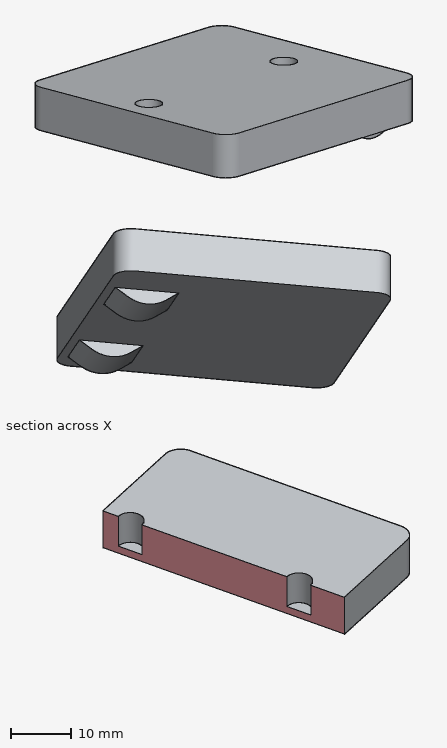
import cadquery as cq
import math

width = 45.0
length = 47.3
total_height = 10.0
tab_height = 2.45
plate_thickness = total_height - tab_height
corner_radius = 3.05

hole_diameter = 4.6
hole_depth = 6.0
hole_spacing = 33.0
front_hole_y = -18.3

tab_width = 8.0
tab_center_y = 16.65
tab_center_x_positions = (-10.4, 14.45)
tab_half_length = 5.45
tab_flank_angle = math.radians(34)


def make_plate():
    """Rounded plate with its underside at Z = 0."""
    plate = cq.Workplane("XY").box(width, length, plate_thickness, centered=(True, True, False))
    return plate.edges("|Z").fillet(corner_radius)


def make_holes():
    """Two blind holes on the centre line, opening at the top face."""
    hole_centers = [(0, front_hole_y), (0, front_hole_y + hole_spacing)]
    return (
        cq.Workplane("XY", origin=(0, 0, plate_thickness - hole_depth))
        .pushPoints(hole_centers)
        .circle(hole_diameter / 2)
        .extrude(hole_depth)
    )


def make_tab(center_x):
    """Ridge with straight flanks running tangentially into a rounded tip."""
    flank_apex_depth = tab_half_length * math.tan(tab_flank_angle)
    tip_radius = (flank_apex_depth - tab_height) / (1 / math.cos(tab_flank_angle) - 1)
    tangent_y = tip_radius * math.sin(tab_flank_angle)
    tangent_z = -(tab_half_length - tangent_y) * math.tan(tab_flank_angle)
    return (
        cq.Workplane("YZ", origin=(center_x - tab_width / 2, tab_center_y, 0))
        .moveTo(-tab_half_length, 0)
        .lineTo(-tangent_y, tangent_z)
        .threePointArc((0, -tab_height), (tangent_y, tangent_z))
        .lineTo(tab_half_length, 0)
        .close()
        .extrude(tab_width)
    )


result = make_plate().cut(make_holes())
for tab_center_x in tab_center_x_positions:
    result = result.union(make_tab(tab_center_x))